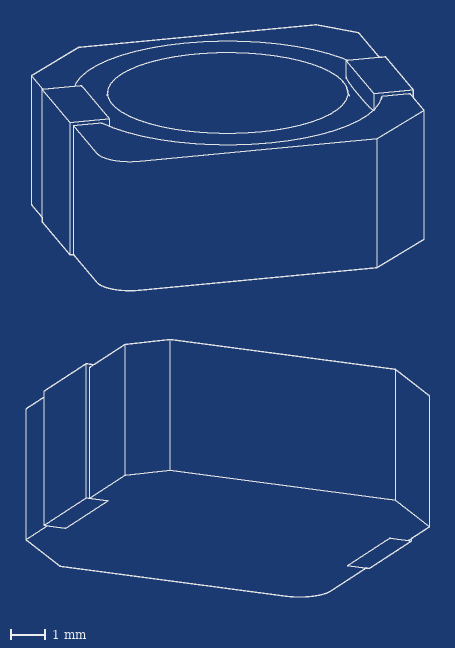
import cadquery as cq

overall_length = 10.4
housing_width = 10.0
overall_height = 4.1
terminal_step = 0.1
housing_length = overall_length - 2 * terminal_step
housing_height = overall_height - terminal_step

small_chamfer = 1.0
large_chamfer = 2.0
corner_radius = 1.0

groove_inner_radius = 3.5
groove_outer_radius = 4.5
groove_mean_radius = (groove_inner_radius + groove_outer_radius) / 2
groove_section_radius = (groove_outer_radius - groove_inner_radius) / 2

terminal_width = 3.0
terminal_reach = 1.2
terminal_thickness = 0.7


def make_terminal(side):
    """Terminal on the -Y side (side = -1) or the +Y side (side = 1)."""
    outer_y = side * overall_length / 2
    leg_y = outer_y - side * terminal_thickness
    tip_y = outer_y - side * terminal_reach
    underside_z = overall_height - terminal_thickness
    return (
        cq.Workplane("YZ")
        .moveTo(outer_y, 0)
        .lineTo(outer_y, overall_height)
        .lineTo(tip_y, overall_height)
        .lineTo(tip_y, underside_z)
        .lineTo(leg_y, underside_z)
        .lineTo(leg_y, 0)
        .close()
        .extrude(terminal_width / 2, both=True)
    )


def make_housing_block():
    """Block with three chamfered vertical edges and one rounded one."""
    block = cq.Workplane("XY").box(
        housing_width, housing_length, housing_height, centered=(True, True, False)
    )
    block = block.edges("|Z").edges("<(1, -1, 0)").chamfer(small_chamfer)
    block = block.edges("|Z").edges(">(1, 1, 0)").chamfer(large_chamfer)
    block = block.edges("|Z").edges("<(1, 1, 0)").chamfer(large_chamfer)
    return block.edges("|Z").edges(">(1, -1, 0)").fillet(corner_radius)


def make_groove_ring():
    """Torus centred on the housing's top face; its lower half cuts the groove."""
    return cq.Workplane(
        cq.Solid.makeTorus(
            groove_mean_radius, groove_section_radius, cq.Vector(0, 0, housing_height)
        )
    )


terminals = [make_terminal(side) for side in (-1, 1)]

housing = make_housing_block().cut(make_groove_ring())
for terminal in terminals:
    housing = housing.cut(terminal)

result = cq.Compound.makeCompound([housing.val(), *[terminal.val() for terminal in terminals]])